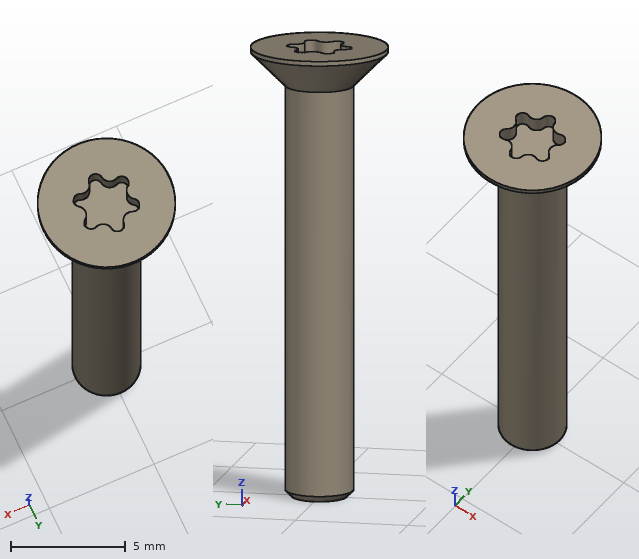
import cadquery as cq
import math

length = 20.0
head_diameter = 6.0
shank_diameter = 3.0
rim_height = 0.2
tip_chamfer = 0.3

lobe_count = 6
socket_tip_radius = 1.45
socket_valley_radius = 1.0
lobe_radius = 0.3
socket_depth = 0.75

head_radius = head_diameter / 2
shank_radius = shank_diameter / 2
cone_height = head_radius - shank_radius
rim_bottom = length - rim_height
head_bottom = rim_bottom - cone_height


def polar(radius, angle):
    return (radius * math.cos(angle), radius * math.sin(angle))


def make_body():
    """Revolve the half profile of the tip, shank and head."""
    profile = [
        (0, 0),
        (shank_radius - tip_chamfer, 0),
        (shank_radius, tip_chamfer),
        (shank_radius, head_bottom),
        (head_radius, rim_bottom),
        (head_radius, length),
        (0, length),
    ]
    return cq.Workplane("XZ").polyline(profile).close().revolve(360, (0, 0), (0, 1))


def make_socket():
    """Six convex lobes joined by concave arcs tangent to them."""
    half_pitch = math.pi / lobe_count
    lobe_center = socket_tip_radius - lobe_radius

    chord_squared = (
        lobe_center**2
        + socket_valley_radius**2
        - 2 * lobe_center * socket_valley_radius * math.cos(half_pitch)
    )
    valley_arc_radius = (chord_squared - lobe_radius**2) / (
        2 * (lobe_radius + lobe_center * math.cos(half_pitch) - socket_valley_radius)
    )
    valley_center = socket_valley_radius + valley_arc_radius

    center_x, center_y = polar(valley_center, half_pitch)
    share = lobe_radius / (lobe_radius + valley_arc_radius)
    tangent_x = lobe_center + share * (center_x - lobe_center)
    tangent_y = share * center_y
    tangent_radius = math.hypot(tangent_x, tangent_y)
    tangent_angle = math.atan2(tangent_y, tangent_x)

    first_lobe = math.pi / 2
    outline = cq.Workplane("XY").workplane(offset=length - socket_depth)
    outline = outline.moveTo(*polar(tangent_radius, first_lobe - tangent_angle))
    for index in range(lobe_count):
        lobe = first_lobe + 2 * half_pitch * index
        next_lobe = lobe + 2 * half_pitch
        outline = outline.threePointArc(
            polar(socket_tip_radius, lobe),
            polar(tangent_radius, lobe + tangent_angle),
        )
        outline = outline.threePointArc(
            polar(socket_valley_radius, lobe + half_pitch),
            polar(tangent_radius, next_lobe - tangent_angle),
        )
    return outline.close().extrude(socket_depth)


result = make_body().cut(make_socket())